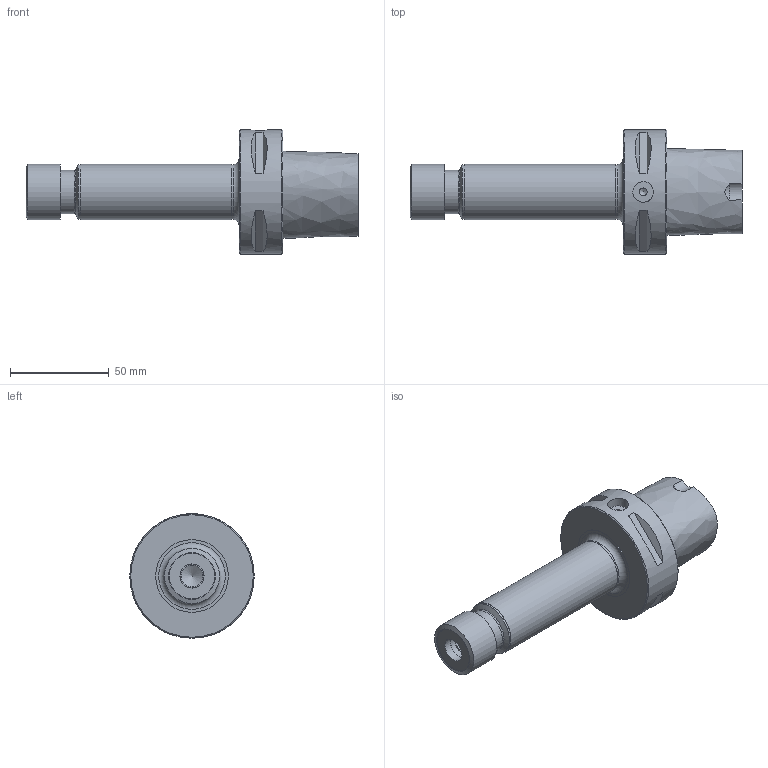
import cadquery as cq
import math


projection = 130.0
nut_diameter = 28.0
nut_length = 17.3
nut_chamfer_axial = 0.8
nut_face_diameter = 23.6
collet_face_diameter = 23.0
collet_face_recess = 0.2

bore_mouth_diameter = 12.2
bore_mouth_depth = 4.0
bore_seat_diameter = 12.0
bore_seat_depth = 6.9
bore_diameter = 11.0
bore_depth = 30.0
drill_point_angle = 118.0

neck_diameter = 22.0
neck_length = 7.0
shallow_cone_length = 0.8
shallow_cone_end_diameter = 22.7
steep_cone_length = 1.3

arbor_diameter = 28.0
band_diameter = 27.8
band_length = 1.0

flange_diameter = 63.0
flange_length = 22.0
flange_chamfer = 0.5
root_fillet = 3.0
ring_diameter = 36.8
ring_height = 0.2

slot_count = 4
slot_offset = 12.0
slot_floor_radius = 27.9
slot_floor_width = 3.9
slot_flank_angle = 30.0

socket_diameter = 10.5
socket_floor_radius = 26.7
pilot_diameter = 4.0
pilot_depth = 4.0

shank_length = 38.0
shank_diameter = 44.0
taper_ratio = 1 / 20
lobe_height = 1.45
shank_outline_points = 72

notch_radius = 5.5
notch_length = 6.4
notch_axis_height = 23.1
notch_end_angle = 45.0

cut_clearance = 1.0


def drill_point_height(diameter):
    """Height of the cone that a drill leaves at the bottom of its hole."""
    return diameter / 2 / math.tan(math.radians(drill_point_angle / 2))


def make_turned_body():
    """Nut, neck, arbor and flange as one half section turned about the tool axis."""
    front = -projection
    collet_face = front + collet_face_recess
    nut_rear = front + nut_length
    neck_rear = nut_rear + neck_length
    shallow_cone_end = neck_rear + shallow_cone_length
    arbor_front = shallow_cone_end + steep_cone_length
    flange_front = -flange_length
    ring_front = flange_front - ring_height
    fillet_start = ring_front - root_fillet
    band_radius = band_diameter / 2
    arbor_radius = arbor_diameter / 2
    flange_radius = flange_diameter / 2
    fillet_reach = root_fillet * math.sin(math.radians(45))
    fillet_middle = (
        fillet_start + fillet_reach,
        band_radius + root_fillet - fillet_reach,
    )
    profile = (
        cq.Workplane("XY")
        .moveTo(collet_face, 0)
        .lineTo(collet_face, collet_face_diameter / 2)
        .lineTo(front, collet_face_diameter / 2)
        .lineTo(front, nut_face_diameter / 2)
        .lineTo(front + nut_chamfer_axial, nut_diameter / 2)
        .lineTo(nut_rear, nut_diameter / 2)
        .lineTo(nut_rear, neck_diameter / 2)
        .lineTo(neck_rear, neck_diameter / 2)
        .lineTo(shallow_cone_end, shallow_cone_end_diameter / 2)
        .lineTo(arbor_front, band_radius)
        .lineTo(arbor_front + band_length, band_radius)
        .lineTo(arbor_front + band_length, arbor_radius)
        .lineTo(fillet_start - band_length, arbor_radius)
        .lineTo(fillet_start - band_length, band_radius)
        .lineTo(fillet_start, band_radius)
        .threePointArc(fillet_middle, (ring_front, band_radius + root_fillet))
        .lineTo(ring_front, ring_diameter / 2)
        .lineTo(flange_front, ring_diameter / 2)
        .lineTo(flange_front, flange_radius - flange_chamfer)
        .lineTo(flange_front + flange_chamfer, flange_radius)
        .lineTo(-flange_chamfer, flange_radius)
        .lineTo(0, flange_radius - flange_chamfer)
        .lineTo(0, 0)
        .close()
    )
    return profile.revolve(360, (0, 0, 0), (1, 0, 0))


def lobed_outline(mean_radius):
    """Constant-width outline in (Y, Z), with a flat toward +Z and a lobe toward -Z."""
    points = []
    for i in range(shank_outline_points):
        angle = 2 * math.pi * i / shank_outline_points
        support = mean_radius + lobe_height * math.sin(3 * angle)
        slope = 3 * lobe_height * math.cos(3 * angle)
        y = support * math.cos(angle) - slope * math.sin(angle)
        z = support * math.sin(angle) + slope * math.cos(angle)
        points.append((y, z))
    return points


def make_shank():
    """Tapered shank lofted between its outlines at the flange and at the rear end."""
    base_radius = shank_diameter / 2
    end_radius = base_radius - shank_length * taper_ratio / 2
    return (
        cq.Workplane("YZ")
        .spline(lobed_outline(base_radius), periodic=True)
        .close()
        .workplane(offset=shank_length)
        .spline(lobed_outline(end_radius), periodic=True)
        .close()
        .loft(ruled=True)
    )


def make_bore():
    """Front bore as a revolved half section, starting at the recessed collet face."""
    mouth = -projection + collet_face_recess
    mouth_end = mouth + bore_mouth_depth
    seat_end = mouth + bore_seat_depth
    bottom = mouth + bore_depth
    return (
        cq.Workplane("XY")
        .moveTo(mouth, 0)
        .lineTo(mouth, bore_mouth_diameter / 2)
        .lineTo(mouth_end, bore_mouth_diameter / 2)
        .lineTo(mouth_end, bore_seat_diameter / 2)
        .lineTo(seat_end, bore_seat_diameter / 2)
        .lineTo(seat_end, bore_diameter / 2)
        .lineTo(bottom, bore_diameter / 2)
        .lineTo(bottom + drill_point_height(bore_diameter), 0)
        .close()
        .revolve(360, (0, 0, 0), (1, 0, 0))
    )


def make_gripper_slot():
    """Straight slot across the +Z side of the flange, with flared flanks."""
    top = flange_diameter / 2 + cut_clearance
    half_floor = slot_floor_width / 2
    flare = (top - slot_floor_radius) * math.tan(math.radians(slot_flank_angle))
    half_top = half_floor + flare
    return (
        cq.Workplane("XZ")
        .polyline([
            (-slot_offset - half_floor, slot_floor_radius),
            (-slot_offset + half_floor, slot_floor_radius),
            (-slot_offset + half_top, top),
            (-slot_offset - half_top, top),
        ])
        .close()
        .extrude(flange_diameter / 2, both=True)
    )


def make_radial_hole():
    """Socket with a drilled pilot in its floor, as a half section turned about the hole axis."""
    pilot_bottom = socket_floor_radius - pilot_depth
    top = flange_diameter / 2 + cut_clearance
    return (
        cq.Workplane("XZ")
        .moveTo(0, top)
        .lineTo(socket_diameter / 2, top)
        .lineTo(socket_diameter / 2, socket_floor_radius)
        .lineTo(pilot_diameter / 2, socket_floor_radius)
        .lineTo(pilot_diameter / 2, pilot_bottom)
        .lineTo(0, pilot_bottom - drill_point_height(pilot_diameter))
        .close()
        .revolve(360, (0, 0, 0), (0, 1, 0))
        .translate((-slot_offset, 0, 0))
    )


def make_notch():
    """Round channel along X with a conical inner end, as a half section turned about its own axis."""
    inner_end = shank_length - notch_length
    outer_end = shank_length + cut_clearance
    cone_height = notch_radius / math.tan(math.radians(notch_end_angle))
    return (
        cq.Workplane("XY")
        .moveTo(inner_end - cone_height, 0)
        .lineTo(inner_end, notch_radius)
        .lineTo(outer_end, notch_radius)
        .lineTo(outer_end, 0)
        .close()
        .revolve(360, (0, 0, 0), (1, 0, 0))
        .translate((0, 0, notch_axis_height))
    )


result = make_turned_body().union(make_shank())
result = result.cut(make_bore())
for index in range(slot_count):
    slot_angle = 360 / slot_count * (index + 0.5)
    result = result.cut(make_gripper_slot().rotate((0, 0, 0), (1, 0, 0), slot_angle))
result = result.cut(make_radial_hole())
result = result.cut(make_notch())